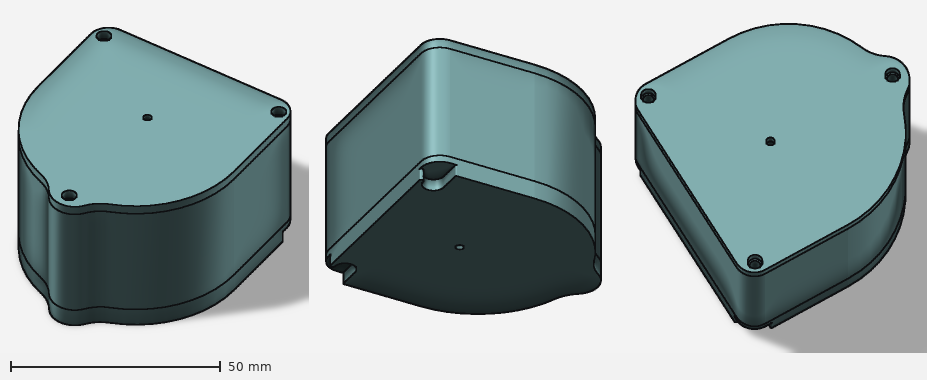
import cadquery as cq
import math

width = 56.0
depth = 60.6
round_radius = width / 2
back_y = round_radius
front_y = back_y - depth
back_corner_radius = 5.0
boss_radius = 6.2
boss_blend_radius = 10.0

total_height = 37.5
base_height = 4.85
lid_height = 2.4
lid_bottom = total_height - lid_height
housing_height = lid_bottom - base_height

shaft_hole_diameter = 2.05
shaft_hole_back_gap = 23.0
shaft_hole_y = back_y - shaft_hole_back_gap

clearance_diameter = 3.6
drill_diameter = 2.55
drill_depth = 12.1
drill_point_angle = 118.0
back_screw_side_gap = 3.0
back_screw_back_gap = 4.0
front_screw_gap = 3.75
back_screw_x = width / 2 - back_screw_side_gap
back_screw_y = back_y - back_screw_back_gap
screw_points = [
    (-back_screw_x, back_screw_y),
    (back_screw_x, back_screw_y),
    (0, front_y + front_screw_gap),
]

notch_width = 5.5
notch_height = 3.1
notch_reach = 6.05
notch_back_gap = 3.9
notch_y = back_y - notch_back_gap
notch_mouth_radius = 0.3


def boss_blend():
    """Start, middle and end of the right-hand concave arc from the round front to the boss."""
    boss_y = front_y + boss_radius
    round_to_blend = round_radius + boss_blend_radius
    boss_to_blend = boss_radius + boss_blend_radius

    centre_y = (round_to_blend**2 - boss_to_blend**2 + boss_y**2) / (2 * boss_y)
    centre_x = math.sqrt(round_to_blend**2 - centre_y**2)

    round_share = round_radius / round_to_blend
    boss_share = boss_radius / boss_to_blend
    start = (centre_x * round_share, centre_y * round_share)
    end = (centre_x * boss_share, boss_y + (centre_y - boss_y) * boss_share)

    chord_dx = (start[0] + end[0]) / 2 - centre_x
    chord_dy = (start[1] + end[1]) / 2 - centre_y
    stretch = boss_blend_radius / math.hypot(chord_dx, chord_dy)
    middle = (centre_x + chord_dx * stretch, centre_y + chord_dy * stretch)
    return start, middle, end


def mirrored(point):
    return (-point[0], point[1])


def layer(bottom, height):
    """Slab with the case outline: square back, round front and a screw boss at the front."""
    on_round, blend_middle, on_boss = boss_blend()
    half_angle = math.atan2(on_round[1], on_round[0]) / 2
    round_middle = (round_radius * math.cos(half_angle), round_radius * math.sin(half_angle))
    return (
        cq.Workplane("XY")
        .workplane(offset=bottom)
        .moveTo(-round_radius, back_y)
        .lineTo(round_radius, back_y)
        .lineTo(round_radius, 0)
        .threePointArc(round_middle, on_round)
        .threePointArc(blend_middle, on_boss)
        .threePointArc((0, front_y), mirrored(on_boss))
        .threePointArc(mirrored(blend_middle), mirrored(on_round))
        .threePointArc(mirrored(round_middle), (-round_radius, 0))
        .close()
        .extrude(height)
        .edges("|Z and >Y")
        .fillet(back_corner_radius)
    )


def cut_shaft_hole(body):
    hole = cq.Workplane("XY").center(0, shaft_hole_y).circle(shaft_hole_diameter / 2).extrude(total_height)
    return body.cut(hole)


def drilled_hole(x, y, top):
    """Blind hole with a conical drill point, running down from the given height."""
    radius = drill_diameter / 2
    point_depth = radius / math.tan(math.radians(drill_point_angle / 2))
    return (
        cq.Workplane("XZ", origin=(x, y, top))
        .polyline([(0, 0), (radius, 0), (radius, -drill_depth), (0, -drill_depth - point_depth)])
        .close()
        .revolve(360, (0, 0, 0), (0, 1, 0))
    )


def corner_notch():
    """Round-ended slot from the left wall, with a round-tipped lip behind it and a rounded mouth."""
    wall_x = -width / 2
    end_x = wall_x + notch_reach
    notch_back = notch_y + notch_width / 2
    notch_front = notch_y - notch_width / 2
    lip_radius = (back_y - notch_back) / 2
    lip_middle = (end_x - lip_radius, back_y - lip_radius)
    mouth_offset = notch_mouth_radius * (1 - math.sqrt(0.5))
    mouth_middle = (wall_x + mouth_offset, notch_front - mouth_offset)
    return (
        cq.Workplane("XY")
        .moveTo(end_x, back_y)
        .threePointArc(lip_middle, (end_x, notch_back))
        .threePointArc((end_x + notch_width / 2, notch_y), (end_x, notch_front))
        .lineTo(wall_x + notch_mouth_radius, notch_front)
        .threePointArc(mouth_middle, (wall_x, notch_front - notch_mouth_radius))
        .lineTo(wall_x, back_y)
        .close()
        .extrude(notch_height)
    )


def make_base():
    left_notch = corner_notch()
    right_notch = left_notch.mirror("YZ")
    return cut_shaft_hole(layer(0, base_height)).cut(left_notch).cut(right_notch)


def make_housing():
    housing = cut_shaft_hole(layer(base_height, housing_height))
    for x, y in screw_points:
        housing = housing.cut(drilled_hole(x, y, lid_bottom))
    return housing


def make_lid():
    lid = cut_shaft_hole(layer(lid_bottom, lid_height))
    holes = (
        cq.Workplane("XY")
        .workplane(offset=lid_bottom)
        .pushPoints(screw_points)
        .circle(clearance_diameter / 2)
        .extrude(lid_height)
    )
    return lid.cut(holes)


base = make_base()
housing = make_housing()
lid = make_lid()

result = cq.Compound.makeCompound([base.val(), housing.val(), lid.val()])